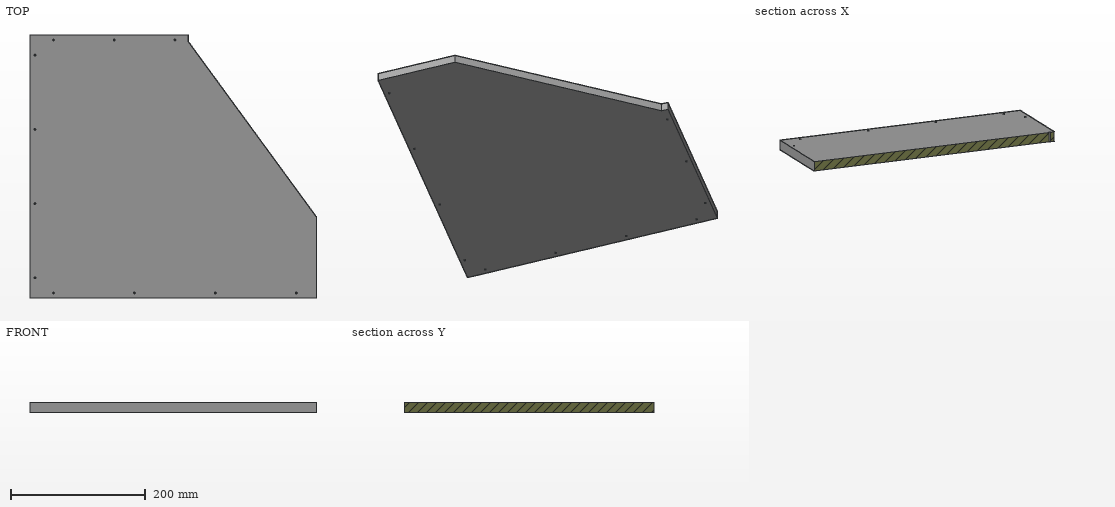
import cadquery as cq

length_x = 425.0
width_y = 390.0
thickness = 15.0
back_edge_length = 235.0
back_step_depth = 10.0
right_edge_length = 120.0

hole_diameter = 2.0
hole_inset = thickness / 2
row_start_x = 35.0
row_start_y = 30.0
front_pitch = 120.0
front_count = 4
left_pitch = 110.0
left_count = 4
back_pitch = 90.0
back_count = 3


def make_board():
    outline = [
        (0, 0),
        (length_x, 0),
        (length_x, right_edge_length),
        (back_edge_length, width_y - back_step_depth),
        (back_edge_length, width_y),
        (0, width_y),
    ]
    return cq.Workplane("XY").polyline(outline).close().extrude(thickness)


def row_along_x(y, pitch, count):
    return [(row_start_x + i * pitch, y) for i in range(count)]


def row_along_y(x, pitch, count):
    return [(x, row_start_y + i * pitch) for i in range(count)]


def drill_holes(board):
    centers = row_along_x(hole_inset, front_pitch, front_count)
    centers += row_along_x(width_y - hole_inset, back_pitch, back_count)
    centers += row_along_y(hole_inset, left_pitch, left_count)
    drills = cq.Workplane("XY").pushPoints(centers).circle(hole_diameter / 2).extrude(thickness)
    return board.cut(drills)


result = drill_holes(make_board())